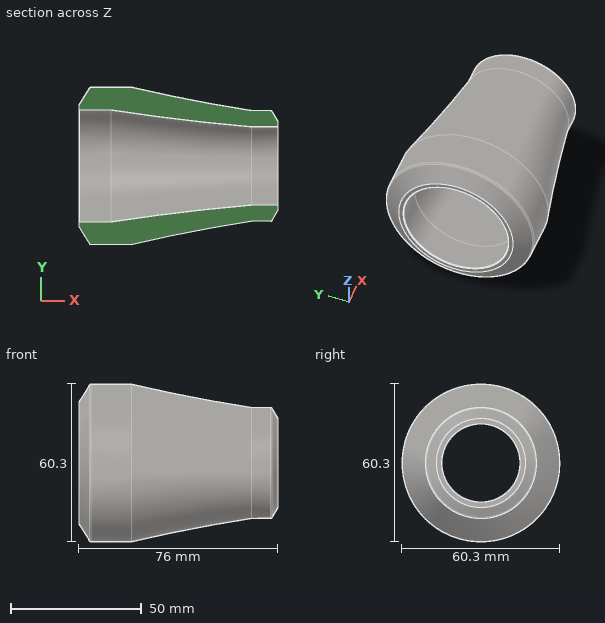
import cadquery as cq

length = 76
large_diameter = 60.3
small_diameter = 42.4

large_bevel_length = 4.25
large_band_end = 20.1
small_band_start = 65.9
small_bevel_length = 2.4
large_face_diameter = 46.7
small_face_diameter = 34.05

taper_hollow = 0.45

bevel_rounding = 0.75

mouth_chamfer = 0.2
large_bore_diameter = 42.7
large_bore_depth = 12.15
small_bore_diameter = 29.8


def taper_middle(start_x, start_radius, end_x, end_radius):
    """Middle point of a concave taper between two stations."""
    return (
        (start_x + end_x) / 2,
        (start_radius + end_radius) / 2 - taper_hollow,
    )


def turn(profile):
    """Revolve a half-section fully about the X axis."""
    return profile.revolve(360, (0, 0, 0), (1, 0, 0))


def make_body():
    """Solid body: two bevelled bands joined by a concave taper."""
    large_radius = large_diameter / 2
    small_radius = small_diameter / 2
    large_bevel_edge = (large_bevel_length, large_radius)
    small_bevel_edge = (length - small_bevel_length, small_radius)
    body = turn(
        cq.Workplane("XY")
        .lineTo(0, large_face_diameter / 2)
        .lineTo(*large_bevel_edge)
        .lineTo(large_band_end, large_radius)
        .threePointArc(
            taper_middle(large_band_end, large_radius, small_band_start, small_radius),
            (small_band_start, small_radius),
        )
        .lineTo(*small_bevel_edge)
        .lineTo(length, small_face_diameter / 2)
        .lineTo(length, 0)
        .close()
    )
    for x in (large_bevel_edge[0], small_bevel_edge[0]):
        axis_point = cq.selectors.NearestToPointSelector((x, 0, 0))
        body = body.edges("%CIRCLE").edges(axis_point).fillet(bevel_rounding)
    return body


def make_bore():
    """Bore: chamfered mouth, wide cylinder, concave taper, narrow cylinder."""
    large_radius = large_bore_diameter / 2
    small_radius = small_bore_diameter / 2
    return turn(
        cq.Workplane("XY")
        .lineTo(0, large_radius + mouth_chamfer)
        .lineTo(mouth_chamfer, large_radius)
        .lineTo(large_bore_depth, large_radius)
        .threePointArc(
            taper_middle(large_bore_depth, large_radius, small_band_start, small_radius),
            (small_band_start, small_radius),
        )
        .lineTo(length, small_radius)
        .lineTo(length, 0)
        .close()
    )


result = make_body().cut(make_bore())